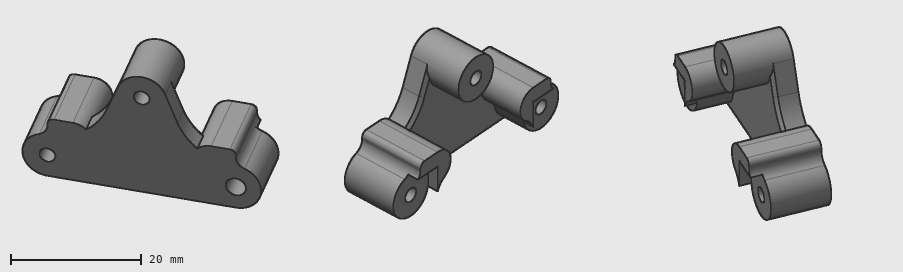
import cadquery as cq
import math

LOBE_CENTER = (15.0, 0.0)
LOBE_RADIUS = 4.0
APEX_CENTER = (0.0, 14.0)
APEX_RADIUS = 4.0
ROUND_CENTER = (11.0, 4.0)
ROUND_RADIUS = 3.0
FLANK_RADIUS = 10.0
SHOULDER_FILLET = 2.0
NECK_FILLET = 4.0
CORNER_RADIUS = 1.0

PLATE_THICKNESS = 4.0
BOSS_LENGTH = 10.0
POST_LENGTH = 12.0
FLANK_CHAMFER = 0.6

HOLE_DIAMETER = 2.5
CLEARANCE_DIAMETER = 3.2
CLEARANCE_DEPTH = PLATE_THICKNESS
SEAT_TOP = 4.25
SEAT_MARGIN = 1.0

BASE_Z = LOBE_CENTER[1] - LOBE_RADIUS
POST_SIDE_X = LOBE_CENTER[0]
POST_TOP_Z = ROUND_CENTER[1] + ROUND_RADIUS
SEAT_INNER_X = LOBE_CENTER[0] - LOBE_RADIUS


def left_crossing(center_a, radius_a, center_b, radius_b):
    """Crossing point of two circles that lies left of the way from a to b."""
    dx = center_b[0] - center_a[0]
    dz = center_b[1] - center_a[1]
    gap = math.hypot(dx, dz)
    ux = dx / gap
    uz = dz / gap
    along = (radius_a**2 - radius_b**2 + gap**2) / (2 * gap)
    across = math.sqrt(radius_a**2 - along**2)
    foot_x = center_a[0] + along * ux
    foot_z = center_a[1] + along * uz
    return (foot_x - across * uz, foot_z + across * ux)


def point_toward(center, target, distance):
    """Point at a distance from center on the way to target."""
    dx = target[0] - center[0]
    dz = target[1] - center[1]
    scale = distance / math.hypot(dx, dz)
    return (center[0] + dx * scale, center[1] + dz * scale)


def arc_to(path, start, end, center):
    """Add the shorter arc about center from start to end."""
    radius = math.dist(start, center)
    chord_middle = ((start[0] + end[0]) / 2, (start[1] + end[1]) / 2)
    return path.threePointArc(point_toward(center, chord_middle, radius), end)


shoulder_rise = math.sqrt((LOBE_RADIUS + SHOULDER_FILLET) ** 2 - SHOULDER_FILLET**2)
shoulder_center = (POST_SIDE_X + SHOULDER_FILLET, LOBE_CENTER[1] + shoulder_rise)
shoulder_start = point_toward(LOBE_CENTER, shoulder_center, LOBE_RADIUS)
shoulder_end = (POST_SIDE_X, shoulder_center[1])

corner_center = (POST_SIDE_X - CORNER_RADIUS, POST_TOP_Z - CORNER_RADIUS)
corner_start = (POST_SIDE_X, corner_center[1])
corner_end = (corner_center[0], POST_TOP_Z)
round_start = (ROUND_CENTER[0], POST_TOP_Z)

neck_center = left_crossing(
    LOBE_CENTER, LOBE_RADIUS + NECK_FILLET, ROUND_CENTER, ROUND_RADIUS + NECK_FILLET
)
neck_start = point_toward(ROUND_CENTER, neck_center, ROUND_RADIUS)
neck_end = point_toward(LOBE_CENTER, neck_center, LOBE_RADIUS)

flank_center = (LOBE_CENTER[0], APEX_CENTER[1])
flank_cos = (APEX_RADIUS + FLANK_RADIUS) / (flank_center[0] - APEX_CENTER[0])
flank_sin = math.sqrt(1 - flank_cos**2)
flank_end = (
    flank_center[0] - FLANK_RADIUS * flank_cos,
    flank_center[1] - FLANK_RADIUS * flank_sin,
)
apex_start = (
    APEX_CENTER[0] + APEX_RADIUS * flank_cos,
    APEX_CENTER[1] + APEX_RADIUS * flank_sin,
)
valley = left_crossing(ROUND_CENTER, ROUND_RADIUS, flank_center, FLANK_RADIUS)


def outer_side(path):
    """Continue from the bottom of the lobe, around it and up to the post's flat top."""
    path = path.threePointArc((LOBE_CENTER[0] + LOBE_RADIUS, LOBE_CENTER[1]), shoulder_start)
    path = arc_to(path, shoulder_start, shoulder_end, shoulder_center)
    path = path.lineTo(*corner_start)
    path = arc_to(path, corner_start, corner_end, corner_center)
    return path.lineTo(*round_start)


def half_plate():
    path = cq.Workplane("XZ").moveTo(0, BASE_Z).lineTo(LOBE_CENTER[0], BASE_Z)
    path = outer_side(path)
    path = arc_to(path, round_start, valley, ROUND_CENTER)
    path = arc_to(path, valley, flank_end, flank_center)
    path = path.lineTo(*apex_start)
    path = path.lineTo(*APEX_CENTER)
    plate = path.close().extrude(-PLATE_THICKNESS)
    flank_edges = cq.selectors.BoxSelector(
        (apex_start[0], PLATE_THICKNESS - FLANK_CHAMFER, valley[1]),
        (valley[0], PLATE_THICKNESS + FLANK_CHAMFER, apex_start[1]),
    )
    return plate.edges(flank_edges).chamfer(FLANK_CHAMFER)


def side_post():
    path = cq.Workplane("XZ").moveTo(LOBE_CENTER[0], BASE_Z)
    path = outer_side(path)
    path = arc_to(path, round_start, neck_start, ROUND_CENTER)
    path = arc_to(path, neck_start, neck_end, neck_center)
    path = arc_to(path, neck_end, (LOBE_CENTER[0], BASE_Z), LOBE_CENTER)
    post = path.close().extrude(-POST_LENGTH)
    seat_width = LOBE_CENTER[0] + LOBE_RADIUS + SEAT_MARGIN - SEAT_INNER_X
    seat_height = SEAT_TOP - BASE_Z + SEAT_MARGIN
    seat = cq.Workplane("XY").box(
        seat_width, POST_LENGTH - BOSS_LENGTH, seat_height, centered=False
    )
    return post.cut(seat.translate((SEAT_INNER_X, BOSS_LENGTH, BASE_Z - SEAT_MARGIN)))


def rod(center, diameter, length):
    """Round bar running back from the front face."""
    return cq.Workplane("XZ").center(*center).circle(diameter / 2).extrude(-length)


half = half_plate().union(side_post())
body = half.union(half.mirror("YZ"))
body = body.union(rod(APEX_CENTER, 2 * APEX_RADIUS, BOSS_LENGTH))

mirrored_lobe_center = (-LOBE_CENTER[0], LOBE_CENTER[1])
for hole_center in (LOBE_CENTER, mirrored_lobe_center, APEX_CENTER):
    body = body.cut(rod(hole_center, HOLE_DIAMETER, POST_LENGTH))
body = body.cut(rod(LOBE_CENTER, CLEARANCE_DIAMETER, CLEARANCE_DEPTH))

result = body.clean()